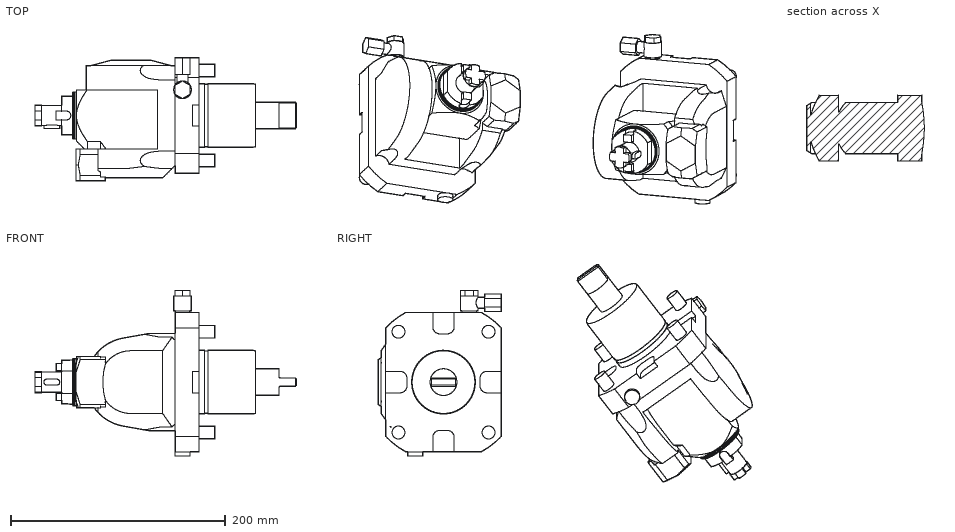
import cadquery as cq
import math


flange_thick = 22.2
flange_half_y = 54.0
flange_half_z = 65.0
flange_corner_radius = 74.0
key_slot_width = 20.0
key_slot_depth = 6.2
key_slot_length = 20.0
key_slot_corner_radius = 6.6
bolt_y = 42.0
bolt_z = 47.0
bolt_radius = 6.0
bolt_length = 14.7

spigot_radius = 29.75
spigot_length = 52.8
spigot_edge_length = 2.3
spigot_edge_drop = 0.5
groove_start = 5.1
groove_width = 3.3
groove_depth = 0.5
shaft_radius = 12.5
shaft_end_x = 74.7
tang_end_x = 91.0
tang_thick = 8.0
tang_chamfer = 1.2
tang_root_fillet = 1.0

pivot_x = -63.5
arm_radius = 41.8
arm_slope = math.radians(10)
yoke_half_z = 45.4
gap_rear_y = 24.0
gap_front_y = -31.2
rear_arm_y = 46.6
front_arm_y = -58.2
front_arm_nose_x = -94.1
bevel_start_y = -49.5
bevel_flat_radius = 29.3
bevel_end_x = -33.9
web_face_x = -38.9
cap_base_radius = 37.5
cap_top_radius = 18.8
cap_top_y = 51.6

flute_radius = 9.0
flute_bend_x = -35.0
flute_tilt = 18.0
flute_length = 60.0

head_half_z = 24.0
head_end_x = web_face_x - head_half_z
head_start_x = -114.3
head_nose_radius = 24.0
head_turned_radius = 34.2
head_turned_end_x = -91.9
head_clear_radius = 45.0

block_start_x = -114.9
block_end_x = -87.3
block_outer_y = -61.0
block_half_z = 24.0
block_edge_y = 5.0
block_edge_z = 3.0
block_hex_half_width = 14.5
block_hex_slope = 20.0
block_relief_radius = 60.0
block_relief_x = -29.7
block_lip_x = head_turned_end_x
block_lip_y = -57.3

ring_start_x = -118.0
ring_radius = 22.1
ring_groove_x = -116.8
ring_groove_width = 1.2
ring_groove_depth = 0.6
ring_chamfer = 0.6
collar_start_x = -128.1
collar_radius = 20.8
collar_half_flat = 18.0
dog_start_x = -133.2
dog_end_x = -119.6
dog_half_width = 4.1
dog_inner_z = 10.4
dog_outer_z = 17.4
nose_end_x = -147.0
tip_x = -153.05
tip_radius = 10.0
nose_radius = 9.5
cross_arm_width = 8.2
feather_key_start_x = -144.7
feather_key_length = 14.8
feather_key_width = 5.6
feather_key_outer_y = -12.2

port_x = -15.4
elbow_y = 24.0
elbow_radius = 8.25
elbow_neck_radius = 6.9
elbow_bottom_z = 66.5
elbow_top_z = 80.5
elbow_head_top_z = 85.5
elbow_branch_z = 74.0
elbow_branch_radius = 5.3
hex_corner_diameter = 16.5
elbow_nut_start_y = 38.4
plug_y = -26.4
plug_radius = 7.1
plug_end_z = -69.0


def box(x_range, y_range, z_range):
    """Axis-aligned box from its (low, high) limits."""
    sizes = [high - low for low, high in (x_range, y_range, z_range)]
    corner = (x_range[0], y_range[0], z_range[0])
    return cq.Workplane("XY").box(*sizes, centered=False).translate(corner)


def cylinder_x(radius, start_x, end_x, y=0.0, z=0.0):
    """Round bar along X."""
    return cq.Workplane("YZ", origin=(start_x, y, z)).circle(radius).extrude(end_x - start_x)


def cylinder_z(radius, start_z, end_z, x, y):
    """Round bar along Z."""
    return cq.Workplane("XY", origin=(x, y, start_z)).circle(radius).extrude(end_z - start_z)


def xz_prism(sketch, low_y, high_y):
    """Extrude a sketch drawn on the XZ plane between two Y positions."""
    return sketch.extrude(low_y - high_y).translate((0, low_y, 0))


def revolve_x(points):
    """Solid of revolution about X from (x, radius) points."""
    return cq.Workplane("XY").polyline(points).close().revolve(360, (0, 0, 0), (1, 0, 0))


def make_flange():
    flange = box(
        (-flange_thick, 0), (-flange_half_y, flange_half_y), (-flange_half_z, flange_half_z)
    )
    flange = flange.intersect(cylinder_x(flange_corner_radius, -flange_thick, 0))
    for angle, half_side in ((0, flange_half_y), (90, flange_half_z)):
        for side in (-1, 1):
            slot = (
                cq.Workplane("YZ", origin=(-key_slot_depth, 0, 0))
                .center(side * half_side, 0)
                .rect(2 * key_slot_length, key_slot_width)
                .extrude(key_slot_depth)
                .edges("|X")
                .fillet(key_slot_corner_radius)
            )
            flange = flange.cut(slot.rotate((0, 0, 0), (1, 0, 0), angle))
    for y in (-bolt_y, bolt_y):
        for z in (-bolt_z, bolt_z):
            flange = flange.union(cylinder_x(bolt_radius, -key_slot_depth, bolt_length, y, z))
    return flange


def make_rear_spigot():
    groove_end = groove_start + groove_width
    groove_radius = spigot_radius - groove_depth
    spigot = revolve_x([
        (-flange_thick, 0),
        (-flange_thick, spigot_radius),
        (groove_start, spigot_radius),
        (groove_start, groove_radius),
        (groove_end, groove_radius),
        (groove_end, spigot_radius),
        (spigot_length - spigot_edge_length, spigot_radius),
        (spigot_length, spigot_radius - spigot_edge_drop),
        (spigot_length, 0),
    ])
    return spigot.union(cylinder_x(shaft_radius, 0, shaft_end_x)).union(make_tang())


def make_tang():
    """Flat drive tang milled from the end of the round shaft, with filleted roots."""
    bar = cylinder_x(shaft_radius, shaft_end_x - shaft_radius, tang_end_x)
    flat = box(
        (shaft_end_x, tang_end_x), (-shaft_radius, shaft_radius), (tang_thick / 2, shaft_radius)
    )
    flat = flat.edges("<X and <Z").fillet(tang_root_fillet)
    tang = bar.cut(flat).cut(flat.mirror("XY"))
    return tang.faces(">X").edges().chamfer(tang_chamfer)


def arm_outline():
    """Side outline of an arm: a round nose running out along sloped flanks to flat sides."""
    tangent_x = pivot_x - arm_radius * math.sin(arm_slope)
    tangent_z = arm_radius * math.cos(arm_slope)
    flat_x = tangent_x + (yoke_half_z - tangent_z) / math.tan(arm_slope)
    return (
        cq.Workplane("XZ")
        .moveTo(-flange_thick, yoke_half_z)
        .lineTo(flat_x, yoke_half_z)
        .lineTo(tangent_x, tangent_z)
        .threePointArc((pivot_x - arm_radius, 0), (tangent_x, -tangent_z))
        .lineTo(flat_x, -yoke_half_z)
        .lineTo(-flange_thick, -yoke_half_z)
        .close()
    )


def make_rear_arm():
    arm = xz_prism(arm_outline(), gap_rear_y, rear_arm_y)
    cap = (
        cq.Workplane("XY")
        .polyline([
            (pivot_x, rear_arm_y),
            (pivot_x + cap_base_radius, rear_arm_y),
            (pivot_x + cap_top_radius, cap_top_y),
            (pivot_x, cap_top_y),
        ])
        .close()
        .revolve(360, (pivot_x, 0, 0), (pivot_x, 1, 0))
    )
    return arm.union(cap)


def front_bevel_envelope():
    """Half cone about the pivot, continued towards the flange as a prism with a 45 degree end."""
    bevel_slope = (arm_radius - bevel_flat_radius) / (bevel_start_y - front_arm_y)
    inner_radius = bevel_flat_radius + bevel_slope * (gap_front_y - front_arm_y)
    cone = (
        cq.Workplane("XY")
        .polyline([
            (pivot_x, front_arm_y),
            (pivot_x + bevel_flat_radius, front_arm_y),
            (pivot_x + inner_radius, gap_front_y),
            (pivot_x, gap_front_y),
        ])
        .close()
        .revolve(360, (pivot_x, 0, 0), (pivot_x, 1, 0))
    )
    half_cone = cone.intersect(
        box(
            (pivot_x - inner_radius, pivot_x),
            (front_arm_y, gap_front_y),
            (-inner_radius, inner_radius),
        )
    )
    prism = (
        cq.Workplane("YZ", origin=(pivot_x, 0, 0))
        .polyline([
            (front_arm_y, -bevel_flat_radius),
            (front_arm_y, bevel_flat_radius),
            (gap_front_y, inner_radius),
            (gap_front_y, -inner_radius),
        ])
        .close()
        .extrude(-flange_thick - pivot_x)
    )
    corner_run = -flange_thick - bevel_end_x
    corner = (
        cq.Workplane("XY", origin=(0, 0, -inner_radius))
        .polyline([
            (bevel_end_x, front_arm_y),
            (-flange_thick, front_arm_y + corner_run),
            (-flange_thick, front_arm_y),
        ])
        .close()
        .extrude(2 * inner_radius)
    )
    return half_cone.union(prism.cut(corner))


def make_front_arm():
    arm = xz_prism(arm_outline(), front_arm_y, gap_front_y)
    arm = arm.intersect(front_bevel_envelope())
    nose = box(
        (pivot_x - arm_radius, front_arm_nose_x),
        (front_arm_y, gap_front_y),
        (-yoke_half_z, yoke_half_z),
    )
    return arm.cut(nose)


def cut_bolt_flutes(body):
    """Straight flute beside the flange, running out along a tilted cylinder."""
    for side_y in (-1, 1):
        flute_y = side_y * bolt_y
        straight = cylinder_x(flute_radius, flute_bend_x, -flange_thick, flute_y, bolt_z)
        runout = cylinder_x(flute_radius, flute_bend_x - flute_length, flute_bend_x, flute_y, bolt_z)
        runout = runout.rotate(
            (flute_bend_x, flute_y, bolt_z), (flute_bend_x, flute_y + 1, bolt_z), flute_tilt
        )
        bend = cq.Workplane("XY").sphere(flute_radius).translate((flute_bend_x, flute_y, bolt_z))
        flute = straight.union(runout).union(bend)
        body = body.cut(flute).cut(flute.mirror("XY"))
    return body


def make_yoke():
    web = box(
        (web_face_x, -flange_thick), (gap_front_y, gap_rear_y), (-yoke_half_z, yoke_half_z)
    )
    yoke = web.union(make_rear_arm()).union(make_front_arm())
    return cut_bolt_flutes(yoke)


def make_head():
    outline = (
        cq.Workplane("XZ")
        .moveTo(head_start_x, head_half_z)
        .lineTo(head_end_x, head_half_z)
        .threePointArc((web_face_x, 0), (head_end_x, -head_half_z))
        .lineTo(head_start_x, -head_half_z)
        .close()
    )
    block = xz_prism(outline, gap_front_y, gap_rear_y)
    turned_start_x = head_start_x + head_turned_radius - head_nose_radius
    clear_x = head_turned_end_x + head_clear_radius - head_turned_radius
    turned = revolve_x([
        (head_start_x, 0),
        (head_start_x, head_nose_radius),
        (turned_start_x, head_turned_radius),
        (head_turned_end_x, head_turned_radius),
        (clear_x, head_clear_radius),
        (web_face_x, head_clear_radius),
        (web_face_x, 0),
    ])
    return block.intersect(turned)


def make_side_block():
    block = (
        cq.Workplane("YZ", origin=(block_start_x, 0, 0))
        .polyline([
            (gap_front_y, block_half_z - block_edge_z),
            (gap_front_y - block_edge_y, block_half_z),
            (block_outer_y + block_edge_y, block_half_z),
            (block_outer_y, block_half_z - block_edge_z),
            (block_outer_y, block_edge_z - block_half_z),
            (block_outer_y + block_edge_y, -block_half_z),
            (gap_front_y - block_edge_y, -block_half_z),
            (gap_front_y, block_edge_z - block_half_z),
        ])
        .close()
        .extrude(block_end_x - block_start_x)
    )
    centre_y = (gap_front_y + block_outer_y) / 2
    block_length = block_end_x - block_start_x
    growth = block_length / math.tan(math.radians(block_hex_slope))
    corner_ratio = 2 / math.cos(math.radians(30))
    pyramid = (
        cq.Workplane("YZ", origin=(block_start_x, centre_y, 0))
        .transformed(rotate=(0, 0, 30))
        .polygon(6, corner_ratio * block_hex_half_width)
        .workplane(offset=block_length)
        .polygon(6, corner_ratio * (block_hex_half_width + growth))
        .loft(ruled=True)
    )
    block = block.intersect(pyramid)
    recess = box(
        (block_lip_x, block_end_x), (block_lip_y, gap_front_y), (-block_half_z, block_half_z)
    )
    block = block.cut(recess)
    relief_outline = cq.Workplane("XZ").center(block_relief_x, 0).circle(block_relief_radius)
    return block.cut(xz_prism(relief_outline, block_outer_y, front_arm_y))


def make_front_spindle():
    groove_end = ring_groove_x + ring_groove_width
    groove_radius = ring_radius - ring_groove_depth
    ring = revolve_x([
        (ring_start_x, 0),
        (ring_start_x, ring_radius - ring_chamfer),
        (ring_start_x + ring_chamfer, ring_radius),
        (ring_groove_x, ring_radius),
        (ring_groove_x, groove_radius),
        (groove_end, groove_radius),
        (groove_end, ring_radius),
        (head_start_x, ring_radius),
        (head_start_x, 0),
    ])
    collar = cylinder_x(collar_radius, collar_start_x, ring_start_x)
    collar = collar.intersect(
        box(
            (collar_start_x, ring_start_x),
            (-collar_half_flat, collar_half_flat),
            (-collar_radius, collar_radius),
        )
    )
    spindle = ring.union(collar)
    for side in (0, 180):
        slot = dog_solid(dog_inner_z, collar_radius).rotate((0, 0, 0), (1, 0, 0), side)
        dog = dog_solid(dog_inner_z, dog_outer_z).rotate((0, 0, 0), (1, 0, 0), side)
        spindle = spindle.cut(slot).union(dog)
    return spindle.union(make_spindle_nose())


def dog_solid(low_z, high_z):
    """Drive-dog plan: square outer end, round inner end, between two heights."""
    round_x = dog_end_x - dog_half_width
    return (
        cq.Workplane("XY", origin=(0, 0, low_z))
        .moveTo(dog_start_x, dog_half_width)
        .lineTo(round_x, dog_half_width)
        .threePointArc((dog_end_x, 0), (round_x, -dog_half_width))
        .lineTo(dog_start_x, -dog_half_width)
        .close()
        .extrude(high_z - low_z)
    )


def make_spindle_nose():
    nose = cylinder_x(nose_radius, nose_end_x, collar_start_x)
    cross = (
        cq.Workplane("YZ", origin=(tip_x, 0, 0))
        .rect(2 * tip_radius, cross_arm_width)
        .extrude(nose_end_x - tip_x)
    )
    cross = cross.union(cross.rotate((0, 0, 0), (1, 0, 0), 90))
    tip = cylinder_x(tip_radius, tip_x, nose_end_x).intersect(cross)
    key_outline = (
        cq.Workplane("XZ")
        .center(feather_key_start_x + feather_key_length / 2, 0)
        .slot2D(feather_key_length, feather_key_width)
    )
    feather_key = xz_prism(key_outline, feather_key_outer_y, 0)
    return nose.union(tip).union(feather_key)


def make_elbow():
    neck = cylinder_z(elbow_neck_radius, 0, elbow_bottom_z - flange_half_z, 0, 0)
    neck = neck.translate((port_x, elbow_y, flange_half_z))
    barrel = cylinder_z(elbow_radius, elbow_bottom_z, elbow_top_z, port_x, elbow_y)
    head = (
        cq.Workplane("XY", origin=(port_x, elbow_y, elbow_top_z))
        .transformed(rotate=(0, 0, 30))
        .polygon(6, hex_corner_diameter)
        .extrude(elbow_head_top_z - elbow_top_z)
    )
    branch_outline = cq.Workplane("XZ").center(port_x, elbow_branch_z).circle(elbow_branch_radius)
    branch = xz_prism(branch_outline, elbow_y, elbow_nut_start_y)
    nut_outline = (
        cq.Workplane("XZ")
        .center(port_x, elbow_branch_z)
        .transformed(rotate=(0, 0, 30))
        .polygon(6, hex_corner_diameter)
    )
    nut = xz_prism(nut_outline, elbow_nut_start_y, flange_half_y)
    return neck.union(barrel).union(head).union(branch).union(nut)


def make_drain_plug():
    return cylinder_z(plug_radius, plug_end_z, -flange_half_z, port_x, plug_y)


result = (
    make_flange()
    .union(make_rear_spigot())
    .union(make_yoke())
    .union(make_head())
    .union(make_side_block())
    .union(make_front_spindle())
    .union(make_elbow())
    .union(make_drain_plug())
)